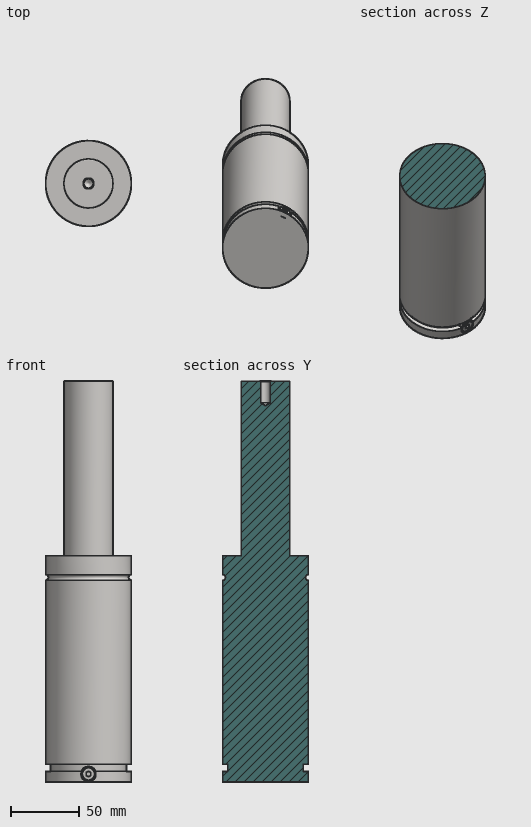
import cadquery as cq
import math

body_diameter = 63.0
body_height = 166.0
total_height = 294.0

rod_diameter = 36.0
rod_fillet = 1.0

tap_drill_diameter = 6.8
tap_mouth_diameter = 8.0
tap_depth = 16.0
drill_tip_angle = 118.0

lower_groove_diameter = 56.0
lower_groove_bottom = 8.0
lower_groove_width = 5.0
upper_groove_radius = 2.0
upper_groove_center = body_height - 16.0

pocket_diameter = 11.0
plug_diameter = 10.0
plug_chamfer = 0.5
plug_center_height = 6.0
plug_face_radius = 31.0
pocket_floor_radius = 27.5
socket_across_flats = 3.5
socket_depth = 3.0


def make_body():
    """Cylinder body with the piston rod extended above it."""
    body = cq.Workplane("XY").circle(body_diameter / 2).extrude(body_height)
    rod = (
        cq.Workplane("XY")
        .circle(rod_diameter / 2)
        .extrude(total_height)
        .faces(">Z")
        .fillet(rod_fillet)
    )
    return body.union(rod)


def make_lower_groove():
    """Ring that cuts a square groove near the foot of the body."""
    return (
        cq.Workplane("XY", origin=(0, 0, lower_groove_bottom))
        .circle(body_diameter / 2 + lower_groove_width)
        .circle(lower_groove_diameter / 2)
        .extrude(lower_groove_width)
    )


def make_upper_groove():
    """Torus that cuts a half-round groove near the top of the body."""
    body_radius = body_diameter / 2
    return (
        cq.Workplane("XZ")
        .center(body_radius, upper_groove_center)
        .circle(upper_groove_radius)
        .revolve(360, (-body_radius, 0, 0), (-body_radius, 1, 0))
    )


def make_tapped_hole():
    """Revolved cutter for the hole in the rod end."""
    drill_radius = tap_drill_diameter / 2
    mouth_radius = tap_mouth_diameter / 2
    tip_height = drill_radius / math.tan(math.radians(drill_tip_angle / 2))
    countersink_depth = mouth_radius - drill_radius
    hole_bottom = total_height - tap_depth
    return (
        cq.Workplane("XZ")
        .moveTo(0, total_height)
        .lineTo(mouth_radius, total_height)
        .lineTo(drill_radius, total_height - countersink_depth)
        .lineTo(drill_radius, hole_bottom)
        .lineTo(0, hole_bottom - tip_height)
        .close()
        .revolve(360, (0, 0, 0), (0, 1, 0))
    )


def make_plug_pocket():
    """Round pocket that leaves a narrow gap around the plug."""
    return (
        cq.Workplane("XZ", origin=(0, -pocket_floor_radius, plug_center_height))
        .circle(pocket_diameter / 2)
        .extrude(body_diameter / 2 - pocket_floor_radius)
    )


def make_plug():
    """Plug with a chamfered rim and a hexagon socket in its face."""
    plug = (
        cq.Workplane("XZ", origin=(0, -pocket_floor_radius, plug_center_height))
        .circle(plug_diameter / 2)
        .extrude(plug_face_radius - pocket_floor_radius)
        .faces("<Y")
        .chamfer(plug_chamfer)
    )
    across_corners = socket_across_flats / math.cos(math.radians(30))
    socket = (
        cq.Workplane("XZ", origin=(0, -plug_face_radius, plug_center_height))
        .transformed(rotate=(0, 0, 90))
        .polygon(6, across_corners)
        .extrude(-socket_depth)
    )
    return plug.cut(socket)


result = (
    make_body()
    .cut(make_lower_groove())
    .cut(make_upper_groove())
    .cut(make_tapped_hole())
    .cut(make_plug_pocket())
    .union(make_plug())
)